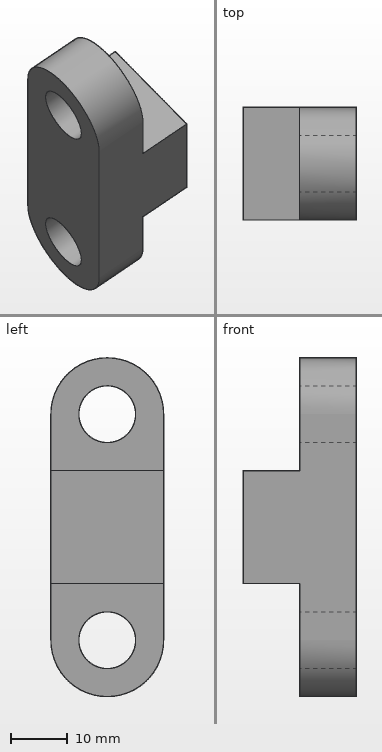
import cadquery as cq

length = 60.0
width = length / 3
plate_thickness = width / 2
block_depth = width / 2
block_height = width
hole_diameter = width / 2
hole_spacing = length - width

plate = (
    cq.Workplane("YZ")
    .slot2D(length, width, 90)
    .extrude(plate_thickness)
)

block = cq.Workplane("YZ").rect(width, block_height).extrude(-block_depth)

holes = (
    cq.Workplane("YZ")
    .pushPoints([(0, -hole_spacing / 2), (0, hole_spacing / 2)])
    .circle(hole_diameter / 2)
    .extrude(plate_thickness)
)

result = plate.union(block).cut(holes)